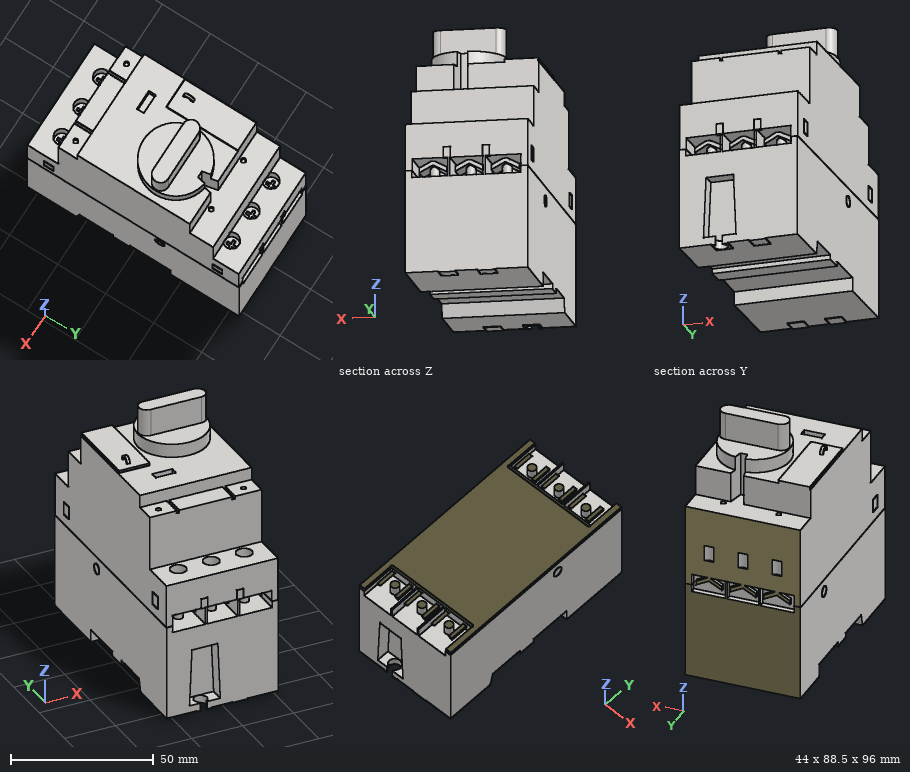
import cadquery as cq


WIDTH = 44.0
DEPTH = 88.5
HEIGHT = 96
FOOT_HEIGHT = 0.3
COVER_INSET = 0.2
SIDES = (-1, 1)

base_face = DEPTH / 2
cover_face = base_face - COVER_INSET

SPLIT_Z = 37.2
TERMINAL_Z = 54.1
REAR_STEP_Z = 68.6
FRONT_STEP_Z = 75.3
DECK_Z = 80.2
REAR_BODY_Y = 33.4
FRONT_BODY_Y = -31.1
DECK_REAR_Y = 23.7
DECK_FRONT_Y = -23.2

HANDLE_X = 6.0
HANDLE_Y = 7.7
DIAL_RADIUS = 13.4
DIAL_TOP_Z = 85.4
GRIP_LENGTH = 26.2
GRIP_WIDTH = 6.3

NOTCH_MOUTH = 5.0
NOTCH_END = 2.5
NOTCH_LENGTH = 6.0

PLATE_LEFT_X = -21.7
PLATE_RIGHT_X = -9.6
PLATE_FRONT_Y = -6.1
PLATE_TOP_Z = 81.2
PLATE_GAP = 0.2
PLATE_OVERHANG = 0.1
LOOP_X = -16.5
LOOP_Y = -1.2
LOOP_WIDTH = 1.2
LOOP_OUTER_RADIUS = 2.1
LOOP_INNER_RADIUS = 1.3

DECK_SLOT_X = -7.5
DECK_SLOT_Y = -13.2
DECK_SLOT_LENGTH = 7.9
DECK_SLOT_WIDTH = 2.9
DECK_SLOT_DEPTH = 2.9
PIN_HOLE_DIAMETER = 1.8
PIN_HOLE_DEPTH = 1.9
FRONT_PIN_X = 16.7
FRONT_PIN_Y = -27.3
REAR_PIN_X = 10.6
REAR_PIN_Y = 25.3
GROOVE_X = 10.9
GROOVE_SIZE = 1.1
WINDOW_Y = 35.1
WINDOW_LENGTH = 4.0
WINDOW_BOTTOM_Z = 41.1
WINDOW_TOP_Z = 46.1
MARK_DEPTH = 0.2

POLE_PITCH = 13.0
POLES = (-1, 0, 1)
TERMINAL_Y = 35.3
SCREW_HOLE_DIAMETER = 6.0
SCREW_HOLE_DEPTH = 5.8
CROSS_LENGTH = 3.8
CROSS_WIDTH = 1
CROSS_DEPTH = 1
SHANK_RADIUS = 1.7
CLAMP_HALF_WIDTH = 5.0
CLAMP_LENGTH = 7.7
CLAMP_TIP_Z = 37.5
CLAMP_RISE = 2.6
CLAMP_THICKNESS = 1.7

OPENING_HALF_WIDTH = 19.5
OPENING_FLOOR_Z = 34.8
OPENING_TOP_Z = 41.5
OPENING_DEPTH = 13.4
OPENING_BACK_WALL = 1
RIB_INNER_X = 6.0
RIB_THICKNESS = 0.8
TONGUE_INNER_X = 5.8
TONGUE_WIDTH = 2.5
TONGUE_TOP_Z = 45.3
TONGUE_DEPTH = 1.4

RAIL_REAR_Y = 15.6
RAIL_FRONT_TOP_Y = -22.4
RAIL_FRONT_BOTTOM_Y = -23.6
RAIL_TOP_Z = 5.3
RAIL_PAD_REAR_Y = -1.2
RAIL_PAD_FRONT_Y = -8.4
RAIL_PAD_Z = 3.6
FOOT_X = 7.0
FOOT_WIDTH = 6.1
FOOT_LENGTH = 5.8
DIMPLE_DIAMETER = 4.0
DIMPLE_Y = 11.1
DIMPLE_Z = 32.4

LATCH_X = -6.9
LATCH_DEPTH = 5.3
LATCH_BOTTOM_Z = 3.2
LATCH_TOP_Z = 25.6
LATCH_BOTTOM_WIDTH = 12.1
LATCH_TOP_WIDTH = 10.2
LATCH_HOLE_DIAMETER = 5.0
LATCH_HOLE_INSET = 2.7
LATCH_SLOT_X = -7.3
LATCH_SLOT_WIDTH = 2.5


def block(x0, x1, y0, y1, z0, z1):
    """Box between two opposite corners."""
    size = (abs(x1 - x0), abs(y1 - y0), abs(z1 - z0))
    centre = ((x0 + x1) / 2, (y0 + y1) / 2, (z0 + z1) / 2)
    return cq.Workplane("XY").box(*size).translate(centre)


def cylinder(x, y, radius, z0, z1):
    """Upright cylinder between two heights."""
    return cq.Workplane("XY").workplane(offset=z0).center(x, y).circle(radius).extrude(z1 - z0)


def side_profile(points):
    """Outline in (Y, Z) extruded over the full width."""
    return cq.Workplane("YZ").polyline(points).close().extrude(WIDTH / 2, both=True)


def opening(end, depth, z0, z1):
    """Space of one row of wire openings between two heights, at the front (-1) or rear (1)."""
    inner_y = end * (base_face - depth)
    return block(-OPENING_HALF_WIDTH, OPENING_HALF_WIDTH, inner_y, end * base_face, z0, z1)


def tongue(side, end):
    """Tongue of the base that fills a recess of the cover above a rib."""
    inner_x = side * TONGUE_INNER_X
    outer_x = inner_x + side * TONGUE_WIDTH
    inner_y = end * (base_face - TONGUE_DEPTH)
    return block(inner_x, outer_x, inner_y, end * base_face, OPENING_TOP_Z, TONGUE_TOP_Z)


def back_wall(end):
    """Wall of the base behind the wire openings, reaching up into the cover."""
    front_y = end * (base_face - OPENING_DEPTH)
    rear_y = front_y - end * OPENING_BACK_WALL
    return block(-OPENING_HALF_WIDTH, OPENING_HALF_WIDTH, rear_y, front_y, SPLIT_Z, OPENING_TOP_Z)


def rib(side, end):
    """Wall of the base between two wire openings."""
    inner_x = side * RIB_INNER_X
    outer_x = inner_x + side * RIB_THICKNESS
    inner_y = end * (base_face - OPENING_DEPTH)
    return block(inner_x, outer_x, inner_y, end * base_face, OPENING_FLOOR_Z, OPENING_TOP_Z)


def handle():
    """Round dial with a bar grip on top."""
    dial = cylinder(HANDLE_X, HANDLE_Y, DIAL_RADIUS, DECK_Z, DIAL_TOP_Z)
    grip = (
        cq.Workplane("XY")
        .workplane(offset=DIAL_TOP_Z)
        .center(HANDLE_X, HANDLE_Y)
        .slot2D(GRIP_LENGTH, GRIP_WIDTH)
        .extrude(HEIGHT - DIAL_TOP_Z)
    )
    return dial.union(grip)


def dial_notch():
    """Tapered notch that reaches from the rear step up through the dial."""
    end_y = DECK_REAR_Y - NOTCH_LENGTH
    points = [
        (HANDLE_X - NOTCH_MOUTH / 2, DECK_REAR_Y),
        (HANDLE_X - NOTCH_END / 2, end_y),
        (HANDLE_X + NOTCH_END / 2, end_y),
        (HANDLE_X + NOTCH_MOUTH / 2, DECK_REAR_Y),
    ]
    plane = cq.Workplane("XY").workplane(offset=REAR_STEP_Z)
    return plane.polyline(points).close().extrude(DIAL_TOP_Z - REAR_STEP_Z)


def label_plate():
    """Plate on a slightly smaller pad, with a half-ring loop on top."""
    gap_top_z = DECK_Z + PLATE_GAP
    plate = block(PLATE_LEFT_X, PLATE_RIGHT_X, PLATE_FRONT_Y, DECK_REAR_Y, gap_top_z, PLATE_TOP_Z)
    pad_left_x = PLATE_LEFT_X + PLATE_OVERHANG
    pad_right_x = PLATE_RIGHT_X - PLATE_OVERHANG
    pad_front_y = PLATE_FRONT_Y + PLATE_OVERHANG
    pad = block(pad_left_x, pad_right_x, pad_front_y, DECK_REAR_Y, DECK_Z, gap_top_z)
    loop = (
        cq.Workplane("YZ", origin=(LOOP_X, LOOP_Y, PLATE_TOP_Z))
        .moveTo(-LOOP_OUTER_RADIUS, 0)
        .threePointArc((0, LOOP_OUTER_RADIUS), (LOOP_OUTER_RADIUS, 0))
        .lineTo(LOOP_INNER_RADIUS, 0)
        .threePointArc((0, LOOP_INNER_RADIUS), (-LOOP_INNER_RADIUS, 0))
        .close()
        .extrude(LOOP_WIDTH / 2, both=True)
    )
    return pad.union(plate).union(loop)


def screw_recess(x, y):
    """Screw hole with the cross slot of the screw head in its floor."""
    floor_z = TERMINAL_Z - SCREW_HOLE_DEPTH
    hole = cylinder(x, y, SCREW_HOLE_DIAMETER / 2, floor_z, TERMINAL_Z)
    arm = cq.Workplane("XY").box(CROSS_LENGTH, CROSS_WIDTH, CROSS_DEPTH)
    cross = arm.union(arm.rotate((0, 0, 0), (0, 0, 1), 90))
    return hole.union(cross.translate((x, y, floor_z - CROSS_DEPTH / 2)))


def terminal_clamp(x, y):
    """Roof-shaped clamp under the cover, with the screw shank reaching down to the opening floor."""
    points = [
        (-CLAMP_HALF_WIDTH, CLAMP_TIP_Z),
        (0, CLAMP_TIP_Z + CLAMP_RISE),
        (CLAMP_HALF_WIDTH, CLAMP_TIP_Z),
        (CLAMP_HALF_WIDTH, CLAMP_TIP_Z + CLAMP_THICKNESS),
        (0, CLAMP_TIP_Z + CLAMP_RISE + CLAMP_THICKNESS),
        (-CLAMP_HALF_WIDTH, CLAMP_TIP_Z + CLAMP_THICKNESS),
    ]
    roof = cq.Workplane("XZ").polyline(points).close().extrude(CLAMP_LENGTH / 2, both=True)
    shank = cylinder(0, 0, SHANK_RADIUS, OPENING_FLOOR_Z, OPENING_TOP_Z)
    return roof.union(shank).translate((x, y, 0))


def deck_slot():
    """Rectangular slot in the top deck."""
    slot = cq.Workplane("XY").box(DECK_SLOT_LENGTH, DECK_SLOT_WIDTH, DECK_SLOT_DEPTH)
    return slot.translate((DECK_SLOT_X, DECK_SLOT_Y, DECK_Z - DECK_SLOT_DEPTH / 2))


def side_window(y):
    """Shallow rectangular recess in the left and right walls."""
    y0 = y - WINDOW_LENGTH / 2
    y1 = y + WINDOW_LENGTH / 2
    inner_x = WIDTH / 2 - MARK_DEPTH
    left = block(-WIDTH / 2, -inner_x, y0, y1, WINDOW_BOTTOM_Z, WINDOW_TOP_Z)
    return left.union(left.mirror("YZ"))


def front_step_cuts():
    """Pin holes and grooves in the front step."""
    cuts = cq.Workplane("XY")
    for side in SIDES:
        hole_z = FRONT_STEP_Z - PIN_HOLE_DEPTH
        hole = cylinder(side * FRONT_PIN_X, FRONT_PIN_Y, PIN_HOLE_DIAMETER / 2, hole_z, FRONT_STEP_Z)
        cuts = cuts.add(hole)
        x0 = side * GROOVE_X - GROOVE_SIZE / 2
        groove_z = FRONT_STEP_Z - GROOVE_SIZE
        groove = block(x0, x0 + GROOVE_SIZE, FRONT_BODY_Y, DECK_FRONT_Y, groove_z, FRONT_STEP_Z)
        cuts = cuts.add(groove)
    return cuts.combine()


def rear_step_holes():
    """Pin holes in the rear step."""
    hole_z = REAR_STEP_Z - PIN_HOLE_DEPTH
    right = cylinder(REAR_PIN_X, REAR_PIN_Y, PIN_HOLE_DIAMETER / 2, hole_z, REAR_STEP_Z)
    return right.union(right.mirror("YZ"))


def make_cover():
    """Upper body with handle, label plate, screws and clamps."""
    cover = side_profile([
        (-cover_face, SPLIT_Z),
        (-cover_face, TERMINAL_Z),
        (FRONT_BODY_Y, TERMINAL_Z),
        (FRONT_BODY_Y, FRONT_STEP_Z),
        (DECK_FRONT_Y, FRONT_STEP_Z),
        (DECK_FRONT_Y, DECK_Z),
        (DECK_REAR_Y, DECK_Z),
        (DECK_REAR_Y, REAR_STEP_Z),
        (REAR_BODY_Y, REAR_STEP_Z),
        (REAR_BODY_Y, TERMINAL_Z),
        (cover_face, TERMINAL_Z),
        (cover_face, SPLIT_Z),
    ])
    cover = cover.union(handle()).cut(dial_notch()).union(label_plate())
    cover = cover.cut(deck_slot())
    cover = cover.cut(front_step_cuts())
    cover = cover.cut(rear_step_holes())

    for end in SIDES:
        cover = cover.cut(opening(end, OPENING_DEPTH + OPENING_BACK_WALL, SPLIT_Z, OPENING_TOP_Z))
        cover = cover.cut(side_window(end * WINDOW_Y))
        for side in SIDES:
            cover = cover.cut(tongue(side, end))
        for pole in POLES:
            x = pole * POLE_PITCH
            y = end * TERMINAL_Y
            cover = cover.cut(screw_recess(x, y)).union(terminal_clamp(x, y))
    return cover


def latch_pocket():
    """Tapered pocket with a keyhole through its floor that opens to the front."""
    front_y = -base_face
    points = [
        (LATCH_X - LATCH_BOTTOM_WIDTH / 2, LATCH_BOTTOM_Z),
        (LATCH_X + LATCH_BOTTOM_WIDTH / 2, LATCH_BOTTOM_Z),
        (LATCH_X + LATCH_TOP_WIDTH / 2, LATCH_TOP_Z),
        (LATCH_X - LATCH_TOP_WIDTH / 2, LATCH_TOP_Z),
    ]
    plane = cq.Workplane("XZ", origin=(0, front_y, 0))
    pocket = plane.polyline(points).close().extrude(-LATCH_DEPTH)
    hole_y = front_y + LATCH_HOLE_INSET
    hole = cylinder(LATCH_SLOT_X, hole_y, LATCH_HOLE_DIAMETER / 2, 0, LATCH_BOTTOM_Z)
    x0 = LATCH_SLOT_X - LATCH_SLOT_WIDTH / 2
    slot = block(x0, x0 + LATCH_SLOT_WIDTH, front_y, hole_y, 0, LATCH_BOTTOM_Z)
    return pocket.union(hole).union(slot)


def foot(side, end):
    """Thin pad under one end of the base."""
    x0 = side * FOOT_X - FOOT_WIDTH / 2
    inner_y = end * (base_face - FOOT_LENGTH)
    return block(x0, x0 + FOOT_WIDTH, inner_y, end * base_face, 0, FOOT_HEIGHT)


def make_base():
    """Lower body with rail recess, feet, latch pocket and the walls of the wire openings."""
    base = side_profile([
        (-base_face, FOOT_HEIGHT),
        (-base_face, SPLIT_Z),
        (base_face, SPLIT_Z),
        (base_face, FOOT_HEIGHT),
        (RAIL_REAR_Y, FOOT_HEIGHT),
        (RAIL_REAR_Y, RAIL_TOP_Z),
        (RAIL_PAD_REAR_Y, RAIL_TOP_Z),
        (RAIL_PAD_REAR_Y, RAIL_PAD_Z),
        (RAIL_PAD_FRONT_Y, RAIL_PAD_Z),
        (RAIL_PAD_FRONT_Y, RAIL_TOP_Z),
        (RAIL_FRONT_TOP_Y, RAIL_TOP_Z),
        (RAIL_FRONT_BOTTOM_Y, FOOT_HEIGHT),
    ])
    for end in SIDES:
        base = base.cut(opening(end, OPENING_DEPTH, OPENING_FLOOR_Z, SPLIT_Z))
        base = base.union(back_wall(end))
        for side in SIDES:
            base = base.union(rib(side, end)).union(tongue(side, end)).union(foot(side, end))
    base = base.cut(latch_pocket())
    for side in SIDES:
        plane = cq.Workplane("YZ", origin=(side * WIDTH / 2, DIMPLE_Y, DIMPLE_Z))
        base = base.cut(plane.circle(DIMPLE_DIAMETER / 2).extrude(-side * MARK_DEPTH))
    return base


cover = make_cover()
base = make_base()
result = cq.Compound.makeCompound([cover.solids().val(), base.solids().val()])